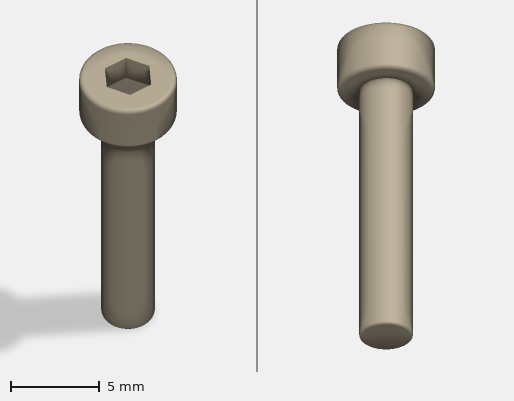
import cadquery as cq
import math

total_length = 19
head_diameter = 5.5
head_height = 3.0
head_top_fillet = 0.25
head_bottom_fillet = 0.25
shank_diameter = 3.02
tip_fillet = 0.15
socket_across_flats = 2.5
socket_depth = 1.6

top_z = total_length / 2
head_bottom_z = top_z - head_height
tip_z = -total_length / 2


def make_head():
    """Cylindrical head with both rims rounded."""
    head = cq.Workplane("XY", origin=(0, 0, head_bottom_z)).circle(head_diameter / 2).extrude(head_height)
    head = head.faces(">Z").edges().fillet(head_top_fillet)
    return head.faces("<Z").edges().fillet(head_bottom_fillet)


def make_shank():
    """Plain shank with a small rounded edge at its tip."""
    shank_length = total_length - head_height
    shank = cq.Workplane("XY", origin=(0, 0, tip_z)).circle(shank_diameter / 2).extrude(shank_length)
    return shank.faces("<Z").edges().fillet(tip_fillet)


def make_socket():
    """Hexagonal drive recess with two corners on the X axis."""
    across_corners = socket_across_flats / math.cos(math.pi / 6)
    return cq.Workplane("XY", origin=(0, 0, top_z)).polygon(6, across_corners).extrude(-socket_depth)


result = make_head().union(make_shank()).cut(make_socket())